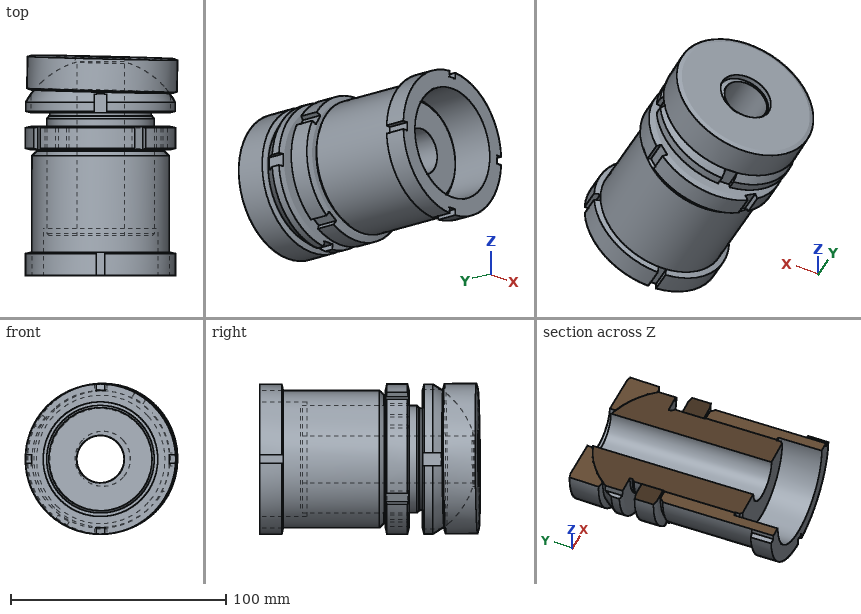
import cadquery as cq
import math

FULL_TURN = 360
OUTER_RADIUS = 35.0
EDGE_CHAMFER_AXIAL = 0.7

BARREL_RADIUS = 32.0
FLANGE_LENGTH = 11.0
SLEEVE_LENGTH = 57.8
BARREL_CHAMFER = 2.2
COUNTERBORE_RADIUS = 26.7
SHOULDER = 22.0

THREAD_RADIUS = 25.0
THREAD_CHAMFER = 1.0
SPINDLE_BORE_RADIUS = 11.0
SPINDLE_START = 18.8
THREAD_END = 73.0
COLLAR_END = 74.4
UNDERCUT_RADIUS = 23.7
HEAD_START = 75.7
HEAD_RIM_END = 80.5

SPHERE_CENTRE = 61.1

NUT_START = 58.5
NUT_LENGTH = 11.0
NUT_SLOT_TURN = 32.0

WASHER_START = 85.5
WASHER_LENGTH = 16.2
WASHER_BORE_RADIUS = 12.8
WASHER_CHAMFER_RADIAL = 2.3
WASHER_TILT_TO_X = 1.4
WASHER_TILT_TO_Z = 0.45

SLOT_COUNT = 4
SLEEVE_SLOT_WIDTH = 4.0
WIDE_SLOT_WIDTH = 6.0
WIDE_SLOT_FLOOR_RADIUS = 32.4
SLOT_CUTTER_HEIGHT = 10.3

RIM_FACE_RADIUS = BARREL_RADIUS
SHANK_TIP_RADIUS = THREAD_RADIUS - THREAD_CHAMFER
SPHERE_RADIUS = math.hypot(OUTER_RADIUS, HEAD_RIM_END - SPHERE_CENTRE)
NUT_END = NUT_START + NUT_LENGTH
WASHER_END = WASHER_START + WASHER_LENGTH
WASHER_FACE_RADIUS = OUTER_RADIUS - WASHER_CHAMFER_RADIAL


def dome_height(radius):
    """Y of the spherical surface at the given distance from the axis."""
    return SPHERE_CENTRE + math.sqrt(SPHERE_RADIUS**2 - radius**2)


def revolve_about_y(profile):
    """Turn a closed (radius, Y) profile once around the Y axis."""
    return profile.close().revolve(FULL_TURN, (0, 0, 0), (0, 1, 0))


def spanner_slots(width, floor_radius, start, end, turn=0.0):
    """Cutters for the evenly spaced rim slots, turned from +Z towards +X."""
    cutters = cq.Workplane("XY")
    for i in range(SLOT_COUNT):
        cutter = (
            cq.Workplane("XY")
            .box(width, end - start, SLOT_CUTTER_HEIGHT, centered=(True, False, False))
            .translate((0, start, floor_radius))
            .rotate((0, 0, 0), (0, 1, 0), turn + i * FULL_TURN / SLOT_COUNT)
        )
        cutters = cutters.add(cutter)
    return cutters.combine()


def make_sleeve():
    profile = cq.Workplane("XY").polyline([
        (COUNTERBORE_RADIUS, 0),
        (OUTER_RADIUS, 0),
        (OUTER_RADIUS, FLANGE_LENGTH - EDGE_CHAMFER_AXIAL),
        (RIM_FACE_RADIUS, FLANGE_LENGTH),
        (BARREL_RADIUS, SLEEVE_LENGTH - BARREL_CHAMFER),
        (BARREL_RADIUS - BARREL_CHAMFER, SLEEVE_LENGTH),
        (THREAD_RADIUS, SLEEVE_LENGTH),
        (THREAD_RADIUS, SHOULDER),
        (COUNTERBORE_RADIUS, SHOULDER),
    ])
    slots = spanner_slots(SLEEVE_SLOT_WIDTH, BARREL_RADIUS, 0, FLANGE_LENGTH)
    return revolve_about_y(profile).cut(slots)


def make_spindle():
    mid_radius = (OUTER_RADIUS + SPINDLE_BORE_RADIUS) / 2
    profile = (
        cq.Workplane("XY")
        .polyline([
            (SPINDLE_BORE_RADIUS, SPINDLE_START),
            (SHANK_TIP_RADIUS, SPINDLE_START),
            (THREAD_RADIUS, SPINDLE_START + THREAD_CHAMFER),
            (THREAD_RADIUS, THREAD_END),
            (SHANK_TIP_RADIUS, THREAD_END + THREAD_CHAMFER),
            (SHANK_TIP_RADIUS, COLLAR_END),
            (UNDERCUT_RADIUS, COLLAR_END),
            (UNDERCUT_RADIUS, HEAD_START),
            (RIM_FACE_RADIUS, HEAD_START),
            (OUTER_RADIUS, HEAD_START + EDGE_CHAMFER_AXIAL),
            (OUTER_RADIUS, HEAD_RIM_END),
        ])
        .threePointArc(
            (mid_radius, dome_height(mid_radius)),
            (SPINDLE_BORE_RADIUS, dome_height(SPINDLE_BORE_RADIUS)),
        )
    )
    slots = spanner_slots(WIDE_SLOT_WIDTH, WIDE_SLOT_FLOOR_RADIUS, HEAD_START, WASHER_START)
    return revolve_about_y(profile).cut(slots)


def make_lock_nut():
    profile = cq.Workplane("XY").polyline([
        (THREAD_RADIUS, NUT_START),
        (RIM_FACE_RADIUS, NUT_START),
        (OUTER_RADIUS, NUT_START + EDGE_CHAMFER_AXIAL),
        (OUTER_RADIUS, NUT_END - EDGE_CHAMFER_AXIAL),
        (RIM_FACE_RADIUS, NUT_END),
        (THREAD_RADIUS, NUT_END),
    ])
    slots = spanner_slots(WIDE_SLOT_WIDTH, WIDE_SLOT_FLOOR_RADIUS, NUT_START, NUT_END, NUT_SLOT_TURN)
    return revolve_about_y(profile).cut(slots)


def make_washer():
    seat_radius = math.sqrt(SPHERE_RADIUS**2 - (WASHER_START - SPHERE_CENTRE)**2)
    mid_radius = (seat_radius + WASHER_BORE_RADIUS) / 2
    profile = (
        cq.Workplane("XY")
        .polyline([
            (seat_radius, WASHER_START),
            (WASHER_FACE_RADIUS, WASHER_START),
            (OUTER_RADIUS, WASHER_START + EDGE_CHAMFER_AXIAL),
            (OUTER_RADIUS, WASHER_END - EDGE_CHAMFER_AXIAL),
            (WASHER_FACE_RADIUS, WASHER_END),
            (WASHER_BORE_RADIUS, WASHER_END),
            (WASHER_BORE_RADIUS, dome_height(WASHER_BORE_RADIUS)),
        ])
        .threePointArc(
            (mid_radius, dome_height(mid_radius)),
            (seat_radius, WASHER_START),
        )
    )
    pivot = cq.Vector(0, SPHERE_CENTRE, 0)
    return (
        revolve_about_y(profile)
        .rotate(pivot, pivot + cq.Vector(0, 0, 1), -WASHER_TILT_TO_X)
        .rotate(pivot, pivot + cq.Vector(1, 0, 0), WASHER_TILT_TO_Z)
    )


sleeve = make_sleeve()
spindle = make_spindle()
lock_nut = make_lock_nut()
washer = make_washer()

result = cq.Compound.makeCompound([
    sleeve.val(),
    spindle.val(),
    lock_nut.val(),
    washer.val(),
])